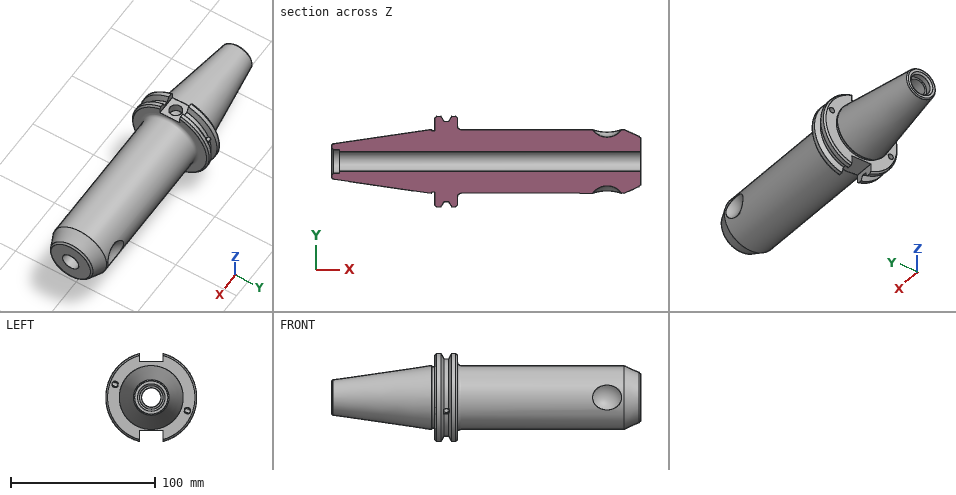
import cadquery as cq
import math

total_length = 214.2

taper_length = 68.3
gauge_diameter = 44.3
taper_ratio = 7 / 24
small_diameter = gauge_diameter - taper_length * taper_ratio
nose_chamfer = 0.9
gauge_land = 0.9
relief_diameter = 42.8
relief_slope = 0.5

flange_start = 71.3
flange_width = 15.9
flange_end = flange_start + flange_width
flange_diameter = 63.2
flange_chamfer = 1.3
groove_middle = 79.5
groove_floor_diameter = 56.1
groove_floor_width = 3.2
groove_half_angle = 30.0

body_diameter = gauge_diameter
collar_radius = 2.5
front_cone_start = 202.7
front_diameter = 35.1
front_chamfer = 1.3

bore_diameter = 13.3
counterbore_diameter = 16.3
counterbore_depth = 5.4
countersink_diameter = 19.0

slot_width = 16.3
upper_slot_floor = 25.0
lower_slot_floor = 23.0
dimple_diameter = 9.5
dimple_depth = 6.5
drill_tip_angle = 118.0

coolant_circle_radius = 26.8
coolant_angle = 20.0
axial_hole_diameter = 4.3
radial_hole_diameter = 4.0
radial_hole_depth = 3.2

hollow_x = 191.0
hollow_sphere_radius = 12.2
hollow_sphere_offset = 29.1


def drilled_hole(diameter, depth):
    """Hole going down from the origin along -Z, ending in a drill tip."""
    radius = diameter / 2
    tip = radius / math.tan(math.radians(drill_tip_angle / 2))
    return (
        cq.Workplane("XZ")
        .polyline([(0, radius), (radius, radius), (radius, -depth), (0, -depth - tip)])
        .close()
        .revolve(360, (0, 0), (0, 1))
    )


def turned_body():
    gauge = gauge_diameter / 2
    relief = relief_diameter / 2
    rim = flange_diameter / 2
    floor = groove_floor_diameter / 2
    body = body_diameter / 2
    front = front_diameter / 2
    floor_half = groove_floor_width / 2
    mouth_half = floor_half + (rim - floor) * math.tan(math.radians(groove_half_angle))
    nose_radius = small_diameter / 2 + nose_chamfer * taper_ratio / 2
    land_end = taper_length + gauge_land
    arc_reach = collar_radius * (1 - math.sqrt(0.5))
    return (
        cq.Workplane("XY")
        .moveTo(0, 0)
        .lineTo(0, nose_radius - nose_chamfer)
        .lineTo(nose_chamfer, nose_radius)
        .lineTo(taper_length, gauge)
        .lineTo(land_end, gauge)
        .lineTo(land_end + relief_slope, relief)
        .lineTo(flange_start, relief)
        .lineTo(flange_start, rim - flange_chamfer)
        .lineTo(flange_start + flange_chamfer, rim)
        .lineTo(groove_middle - mouth_half, rim)
        .lineTo(groove_middle - floor_half, floor)
        .lineTo(groove_middle + floor_half, floor)
        .lineTo(groove_middle + mouth_half, rim)
        .lineTo(flange_end - flange_chamfer, rim)
        .lineTo(flange_end, rim - flange_chamfer)
        .lineTo(flange_end, body + collar_radius)
        .threePointArc(
            (flange_end + arc_reach, body + arc_reach),
            (flange_end + collar_radius, body),
        )
        .lineTo(front_cone_start, body)
        .lineTo(total_length - front_chamfer, front)
        .lineTo(total_length, front - front_chamfer)
        .lineTo(total_length, 0)
        .close()
        .revolve(360, (0, 0), (1, 0))
    )


def stepped_bore():
    countersink_depth = (countersink_diameter - counterbore_diameter) / 2
    bore = bore_diameter / 2
    counterbore = counterbore_diameter / 2
    return (
        cq.Workplane("XY")
        .polyline([
            (0, 0),
            (0, countersink_diameter / 2),
            (countersink_depth, counterbore),
            (counterbore_depth, counterbore),
            (counterbore_depth, bore),
            (total_length, bore),
            (total_length, 0),
        ])
        .close()
        .revolve(360, (0, 0), (1, 0))
    )


def drive_slot(floor_height):
    """Slot through the flange and the collar behind it."""
    slot_length = flange_width + collar_radius
    return (
        cq.Workplane("XY", origin=(flange_start, 0, floor_height))
        .box(slot_length, slot_width, flange_diameter / 2, centered=(False, True, False))
    )


def coolant_holes():
    """Coolant hole pair on the +Y side, before tilting about the X axis."""
    axial_length = groove_middle + groove_floor_width / 2 - flange_start
    axial = (
        cq.Workplane("YZ", origin=(flange_start, coolant_circle_radius, 0))
        .circle(axial_hole_diameter / 2)
        .extrude(axial_length)
    )
    radial = (
        drilled_hole(radial_hole_diameter, radial_hole_depth)
        .rotate((0, 0, 0), (1, 0, 0), -90)
        .translate((groove_middle, groove_floor_diameter / 2, 0))
    )
    return axial.union(radial)


result = turned_body().cut(stepped_bore())

lower_slot = drive_slot(lower_slot_floor).rotate((0, 0, 0), (1, 0, 0), 180)
result = result.cut(drive_slot(upper_slot_floor)).cut(lower_slot)

dimple = drilled_hole(dimple_diameter, dimple_depth)
result = result.cut(dimple.translate((groove_middle, 0, upper_slot_floor)))

for half_turn in (0, 180):
    tilt = coolant_angle + half_turn
    result = result.cut(coolant_holes().rotate((0, 0, 0), (1, 0, 0), tilt))

for side in (-1, 1):
    hollow = cq.Workplane("XY").sphere(hollow_sphere_radius)
    result = result.cut(hollow.translate((hollow_x, side * hollow_sphere_offset, 0)))